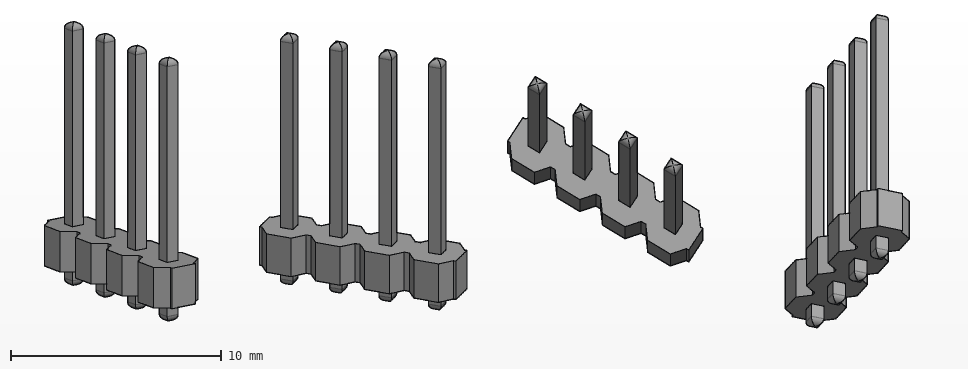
import cadquery as cq

pin_count = 4
row_length = 10.17
pitch = row_length / pin_count

pin_width = 0.65
pin_length = 13.0
tip_radius = pin_width / 2

base_bottom = 1.0
base_height = 2.0
base_depth = 2.64
half_depth = pitch / 2
flat_half_width = 0.64
notch_half_depth = 0.64
notch_half_width = 0.13
front_drop = base_depth - 2 * half_depth

pin_positions = [(i - (pin_count - 1) / 2) * pitch for i in range(pin_count)]
front_slope = front_drop / (pin_positions[-1] - pin_positions[0] + 2 * flat_half_width)


def side_outline():
    """Points of the back (+Y) side, whose flats all lie in one plane, from left to right."""
    shoulder = pitch / 2 - notch_half_width
    points = [(-row_length / 2, notch_half_depth)]
    for x in pin_positions:
        points += [
            (x - shoulder, notch_half_depth),
            (x - flat_half_width, half_depth),
            (x + flat_half_width, half_depth),
            (x + shoulder, notch_half_depth),
        ]
    points.append((row_length / 2, notch_half_depth))
    return points


def make_base():
    """Row of joined octagons whose front side is skewed slightly outwards to the right."""
    back = side_outline()
    skew_start = pin_positions[0] - flat_half_width
    front = [(x, -y - front_slope * (x - skew_start)) for x, y in back]
    outline = back + front[::-1]
    floor = cq.Workplane("XY").workplane(offset=base_bottom)
    return floor.polyline(outline).close().extrude(base_height)


def rounded_bar(plane):
    """Bar standing along Z with full-round ends, extruded across the given plane."""
    return (
        cq.Workplane(plane)
        .moveTo(-tip_radius, tip_radius)
        .threePointArc((0, 0), (tip_radius, tip_radius))
        .lineTo(tip_radius, pin_length - tip_radius)
        .threePointArc((0, pin_length), (-tip_radius, pin_length - tip_radius))
        .close()
        .extrude(pin_width / 2, both=True)
    )


def make_pin():
    """Square pin whose tips are rounded in both directions and so end in a four-sided dome."""
    return rounded_bar("XZ").intersect(rounded_bar("YZ"))


result = make_base()
pin = make_pin()
for x in pin_positions:
    result = result.union(pin.translate((x, 0, 0)))